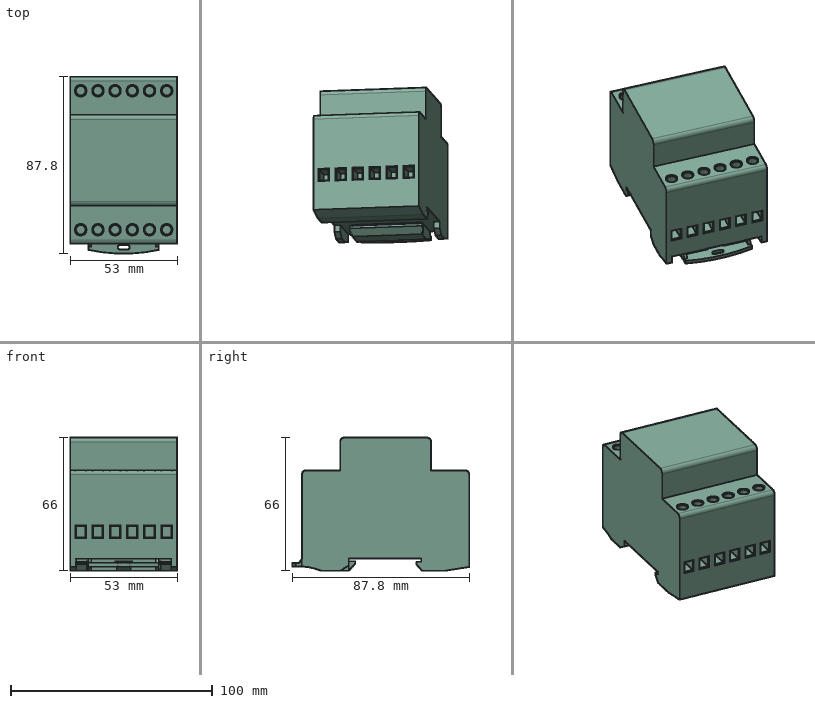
import cadquery as cq


overall_depth = 87.8
width = 53.0
depth = 82.9
height = 66.0
shoulder_height = 49.8
shoulder_depth = 18.9
edge_radius = 2.0
top_edge_radius = 2.2

channel_height = 6.0
channel_front = 23.3
channel_back = 59.0
front_corner_height = 2.1
front_foot_start = 9.5
front_curve_middle = (5.2, 1.3)
front_foot_end = 19.0
front_foot_step = 2.6
back_corner_height = 1.8
back_foot_start = 59.4
back_foot_end = 71.2
lip_tip = 56.5
lip_top = 4.6
lip_bottom = 3.3
lip_rounding = 0.5

terminal_count = 6
terminal_pitch = 8.5
rim_chamfer = 0.5
rim_angle = 45
screw_hole_diameter = 4.7
screw_hole_inset = 7.0
screw_hole_depth = 10.5
window_width = 4.5
window_height = 5.3
window_level = 19.3
window_depth = 12.3

clip_slot_width = 47.05
clip_width = 34.9
clip_wall = 1.5
clip_recess_depth = 1.75
hook_width = 36.5
hook_tip = 26.4
hook_top = 4.7
hook_tip_bottom = 3.5
hook_ear_bottom = 0.7
tongue_length = overall_depth - depth
tongue_side_length = 3.0
tongue_top = 3.95
tongue_bottom = front_corner_height
gusset_length = 1.5
pull_slot_length = 5.8
pull_slot_width = 2.2
pull_slot_offset = 1.7
notch_width = 8.25
notch_top = 4.8
notch_depth = 1.75
pocket_inner = 3.5
pocket_depth = 10.5


def extrude_across(profile, across):
    """Extrude a YZ profile symmetrically about X = 0."""
    return profile.extrude(across / 2, both=True)


def box(x_range, y_range, z_range):
    """Box from its limits along X, Y and Z."""
    sizes = [high - low for low, high in (x_range, y_range, z_range)]
    corner = (x_range[0], y_range[0], z_range[0])
    return cq.Workplane("XY").box(*sizes, centered=False).translate(corner)


def front_underside(profile):
    """Continue a YZ profile along the hollow curve from the front foot to the front wall."""
    return profile.threePointArc(front_curve_middle, (0, front_corner_height))


def make_housing():
    """Stepped housing with rail feet, rounded along its upper edges."""
    outline = (
        cq.Workplane("YZ")
        .moveTo(0, front_corner_height)
        .lineTo(0, shoulder_height)
        .lineTo(shoulder_depth, shoulder_height)
        .lineTo(shoulder_depth, height)
        .lineTo(depth - shoulder_depth, height)
        .lineTo(depth - shoulder_depth, shoulder_height)
        .lineTo(depth, shoulder_height)
        .lineTo(depth, back_corner_height)
        .lineTo(back_foot_end, 0)
        .lineTo(back_foot_start, 0)
        .lineTo(lip_tip, lip_bottom)
        .lineTo(lip_tip, lip_top - lip_rounding)
        .lineTo(lip_tip + lip_rounding, lip_top)
        .lineTo(channel_back, lip_top)
        .lineTo(channel_back, channel_height)
        .lineTo(channel_front, channel_height)
        .lineTo(channel_front, front_foot_step)
        .lineTo(front_foot_end, 0)
        .lineTo(front_foot_start, 0)
    )
    housing = extrude_across(front_underside(outline).close(), width)
    for level, inset, radius in (
        (height, shoulder_depth, top_edge_radius),
        (shoulder_height, 0, edge_radius),
    ):
        for y in (inset, depth - inset):
            edge = cq.selectors.NearestToPointSelector((0, y, level))
            housing = housing.edges(edge).fillet(radius)
    return housing


def make_screw_hole():
    """Cutter for a countersunk hole, standing on Z = 0 with its mouth at the top."""
    hole = cq.Workplane("XY").circle(screw_hole_diameter / 2).extrude(screw_hole_depth)
    rim_start = hole.faces(">Z").workplane(offset=-rim_chamfer)
    return rim_start.circle(screw_hole_diameter / 2).extrude(rim_chamfer, taper=-rim_angle)


def make_window():
    """Cutter for a rectangular opening in the front wall with a flared rim."""
    opening = cq.Workplane("XZ").rect(window_width, window_height).extrude(-window_depth)
    rim = (
        cq.Workplane("XZ")
        .rect(window_width + 2 * rim_chamfer, window_height + 2 * rim_chamfer)
        .workplane(offset=-rim_chamfer)
        .rect(window_width, window_height)
        .loft()
    )
    return opening.union(rim)


def make_terminal_cutters():
    """Screw holes in one shoulder and wire windows in the wall below it."""
    screw_hole = make_screw_hole().translate((0, screw_hole_inset, shoulder_height - screw_hole_depth))
    window = make_window().translate((0, 0, window_level))
    positions = [terminal_pitch * (i - (terminal_count - 1) / 2) for i in range(terminal_count)]
    cutters = cq.Workplane("XY")
    for x in positions:
        cutters = cutters.add(screw_hole.translate((x, 0, 0))).add(window.translate((x, 0, 0)))
    return cutters.combine()


def make_clip():
    """Rail clip: hooked block with a pull tongue reaching out under the front wall."""
    block = (
        cq.Workplane("YZ")
        .moveTo(0, front_corner_height)
        .lineTo(-gusset_length, tongue_bottom)
        .lineTo(-gusset_length, tongue_top)
        .lineTo(0, channel_height)
        .lineTo(channel_front, channel_height)
        .lineTo(channel_front, hook_top)
        .lineTo(hook_tip, hook_top)
        .lineTo(hook_tip, hook_tip_bottom)
        .lineTo(channel_front, 0)
        .lineTo(front_foot_start, 0)
    )
    clip = extrude_across(front_underside(block).close(), clip_width)

    ear_slope_start = channel_front + (hook_tip - channel_front) * hook_ear_bottom / hook_tip_bottom
    clip = clip.union(
        extrude_across(
            cq.Workplane("YZ")
            .moveTo(channel_front, hook_ear_bottom)
            .lineTo(channel_front, hook_top)
            .lineTo(hook_tip, hook_top)
            .lineTo(hook_tip, hook_tip_bottom)
            .lineTo(ear_slope_start, hook_ear_bottom)
            .close(),
            hook_width,
        )
    )

    recess_half = clip_width / 2 - clip_wall
    recess = box(
        (-recess_half, recess_half), (-gusset_length, clip_recess_depth), (tongue_top, channel_height)
    )
    notch = box(
        (-notch_width / 2, notch_width / 2),
        (clip_recess_depth, clip_recess_depth + notch_depth),
        (tongue_top, notch_top),
    )
    clip = clip.cut(recess).cut(notch)

    for x_range in ((-recess_half, -pocket_inner), (pocket_inner, recess_half)):
        clip = clip.cut(box(x_range, (0, pocket_depth), (0, tongue_bottom)))

    tongue = (
        cq.Workplane("XY", origin=(0, 0, tongue_bottom))
        .moveTo(-clip_width / 2, 0)
        .lineTo(-clip_width / 2, -tongue_side_length)
        .threePointArc((0, -tongue_length), (clip_width / 2, -tongue_side_length))
        .lineTo(clip_width / 2, 0)
        .close()
        .extrude(tongue_top - tongue_bottom)
    )
    pull_slot = (
        cq.Workplane("XY", origin=(0, -pull_slot_offset, tongue_bottom))
        .slot2D(pull_slot_length, pull_slot_width)
        .extrude(tongue_top - tongue_bottom)
    )
    return clip.union(tongue).cut(pull_slot)


terminals = make_terminal_cutters()
opposite_terminals = terminals.rotate((0, depth / 2, 0), (0, depth / 2, 1), 180)
clip_slot = box((-clip_slot_width / 2, clip_slot_width / 2), (0, channel_front), (0, channel_height))

result = make_housing().cut(terminals).cut(opposite_terminals).cut(clip_slot).union(make_clip())